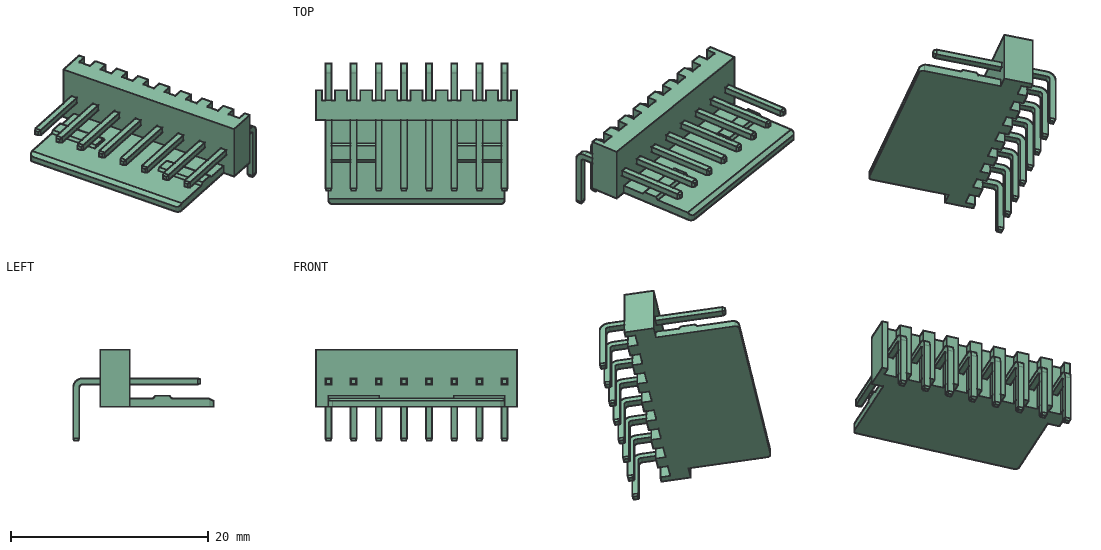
import cadquery as cq
import math


pin_count = 8
pin_pitch = 2.55

housing_length = pin_count * pin_pitch
housing_depth = 3.0
housing_height = 5.8

slot_width = 1.3
slot_depth = 1.02

plate_width = 17.82
plate_reach = 8.5
plate_thickness = 0.87
lead_in_length = 0.53
lead_in_drop = 0.26
plate_corner_radius = 0.4

ridge_width = 5.15
ridge_start = 2.34
ridge_base = 1.9
ridge_rise = 0.28
ridge_slope_run = 0.25

pin_size = pin_pitch / 4
pin_axis_height = 2.58
pin_reach = 7.13
tail_setback = 2.72
tail_drop = 3.41
bend_outer_radius = 0.95
tip_length = 0.26
tip_inset = 0.1

pin_end_y = -pin_reach
tail_axis_y = housing_depth + tail_setback - pin_size / 2
bend_radius = bend_outer_radius - pin_size / 2
tip_angle = math.degrees(math.atan2(tip_inset, tip_length))

pin_positions = [(i - (pin_count - 1) / 2) * pin_pitch for i in range(pin_count)]


def extrude_side_profile(points, x_start, width):
    """Extrude an outline of (Y, Z) points along +X from x_start."""
    return cq.Workplane("YZ", origin=(x_start, 0, 0)).polyline(points).close().extrude(width)


def make_block():
    """Housing block with its rear slots."""
    block = cq.Workplane("XY").box(
        housing_length, housing_depth, housing_height, centered=(True, False, False)
    )
    slots = (
        cq.Workplane("XY")
        .pushPoints([(x, housing_depth - slot_depth / 2) for x in pin_positions])
        .rect(slot_width, slot_depth)
        .extrude(housing_height)
    )
    return block.cut(slots)


def make_plate():
    """Locking plate with a sloped lead-in edge and rounded front corners."""
    outline = [
        (0, 0),
        (0, plate_thickness),
        (-plate_reach + lead_in_length, plate_thickness),
        (-plate_reach, plate_thickness - lead_in_drop),
        (-plate_reach, 0),
    ]
    plate = extrude_side_profile(outline, -plate_width / 2, plate_width)
    return plate.faces("<Y").edges("|Z").fillet(plate_corner_radius)


def make_ridge(x_start):
    """Latch ridge with sloped front and back."""
    ridge_end = ridge_start + ridge_base
    ridge_top = plate_thickness + ridge_rise
    outline = [
        (-ridge_start, plate_thickness),
        (-ridge_start - ridge_slope_run, ridge_top),
        (-ridge_end + ridge_slope_run, ridge_top),
        (-ridge_end, plate_thickness),
    ]
    return extrude_side_profile(outline, x_start, ridge_width)


def make_pin_holes():
    """Square through holes that the pins fill."""
    return (
        cq.Workplane("XZ")
        .pushPoints([(x, pin_axis_height) for x in pin_positions])
        .rect(pin_size, pin_size)
        .extrude(-housing_depth)
    )


def make_housing():
    """Block, plate and ridges as one moulding, pierced for the pins."""
    moulding = make_block().union(make_plate())
    for x_start in (-plate_width / 2, plate_width / 2 - ridge_width):
        moulding = moulding.union(make_ridge(x_start))
    return moulding.cut(make_pin_holes())


def make_tip(plane):
    """Tapered square pin end, growing along the plane's normal."""
    return cq.Workplane(plane).rect(pin_size, pin_size).extrude(tip_length, taper=tip_angle)


def make_pin(x):
    """Square pin bent down behind the housing, tapered at both ends."""
    shank_start_y = pin_end_y + tip_length
    tail_end_z = -tail_drop + tip_length
    path = (
        cq.Workplane("YZ", origin=(x, 0, 0))
        .moveTo(shank_start_y, pin_axis_height)
        .lineTo(tail_axis_y - bend_radius, pin_axis_height)
        .radiusArc((tail_axis_y, pin_axis_height - bend_radius), bend_radius)
        .lineTo(tail_axis_y, tail_end_z)
    )
    mating_plane = cq.Plane((x, shank_start_y, pin_axis_height), xDir=(1, 0, 0), normal=(0, -1, 0))
    tail_plane = cq.Plane((x, tail_axis_y, tail_end_z), xDir=(1, 0, 0), normal=(0, 0, -1))
    bar = cq.Workplane(mating_plane).rect(pin_size, pin_size).sweep(path)
    return bar.union(make_tip(mating_plane)).union(make_tip(tail_plane))


housing = make_housing()
pins = [make_pin(x) for x in pin_positions]

result = cq.Compound.makeCompound([housing.solids().val(), *[pin.solids().val() for pin in pins]])